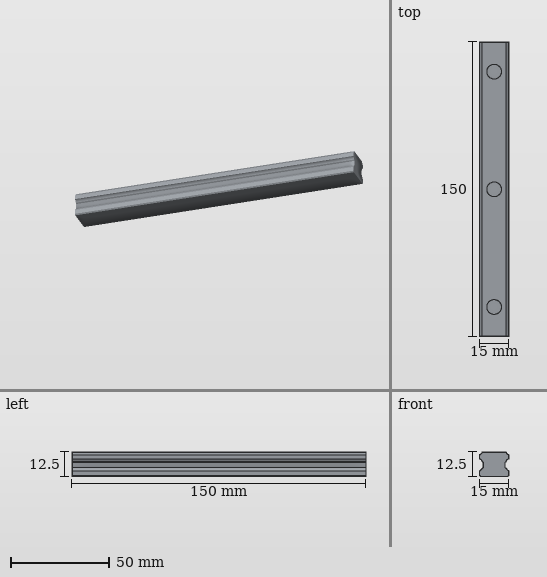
import cadquery as cq
import math

width = 15.0
length = 150.0
height = 12.5

track_size = 1.4
track_radius = 1.8
upper_land_bottom = 9.0

neck_width = 11.2
neck_bottom = 4.6
foot_chamfer = 0.6

cap_diameter = 7.5
cap_depth = 0.2
cap_pitch = 60.0
cap_count = 3

half_width = width / 2
neck_half_width = neck_width / 2
track_edge = half_width - track_size
foot_top = neck_bottom - (half_width - neck_half_width)
track_inner_height = upper_land_bottom - track_size
neck_top = track_inner_height - (track_edge - neck_half_width)

track_chord = track_size * math.sqrt(2)
track_sag = track_radius - math.sqrt(track_radius**2 - (track_chord / 2) ** 2)
track_mid_offset = track_size / 2 + track_sag / math.sqrt(2)


def half_profile():
    """Right half of the rail section, closed along the centre line."""
    upper_track_mid = (half_width - track_mid_offset, height - track_mid_offset)
    lower_track_mid = (half_width - track_mid_offset, track_inner_height + track_mid_offset)
    return (
        cq.Workplane("XZ", origin=(0, length / 2, 0))
        .lineTo(half_width - foot_chamfer, 0)
        .lineTo(half_width, foot_chamfer)
        .lineTo(half_width, foot_top)
        .lineTo(neck_half_width, neck_bottom)
        .lineTo(neck_half_width, neck_top)
        .lineTo(track_edge, track_inner_height)
        .threePointArc(lower_track_mid, (half_width, upper_land_bottom))
        .lineTo(half_width, height - track_size)
        .threePointArc(upper_track_mid, (track_edge, height))
        .lineTo(0, height)
        .close()
    )


def rail_body():
    half = half_profile().extrude(length)
    return half.union(half.mirror("YZ")).clean()


def cap_recesses():
    return (
        cq.Workplane("XY", origin=(0, 0, height - cap_depth))
        .rarray(1.5, cap_pitch, 1, cap_count)
        .circle(cap_diameter / 2)
        .extrude(cap_depth)
    )


result = rail_body().cut(cap_recesses())